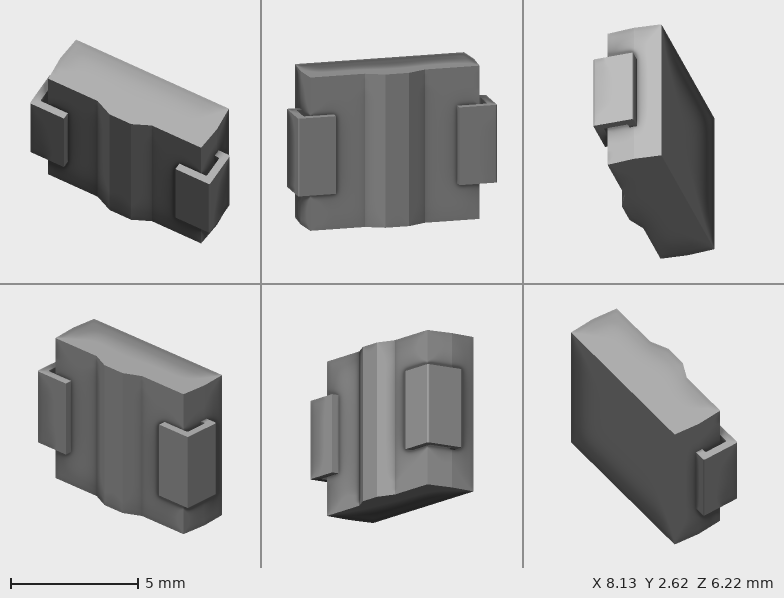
import cadquery as cq

overall_length = 8.13
overall_depth = 2.62
body_height = 6.22

body_end_width = 6.91
body_ridge_width = 7.09
body_front_gap = 0.4
pad_front_gap = 0.06
pad_base_width = 2.455
pad_face_width = 0.975

terminal_height = 3.155
terminal_depth = 1.64
terminal_thickness = 0.31
foot_length = 1.545
outer_bend_radius = 0.065
inner_bend_radius = 0.065
arm_embed = 0.16

front_y = -overall_depth / 2
back_y = overall_depth / 2
body_front_y = front_y + body_front_gap
pad_front_y = front_y + pad_front_gap
ridge_y = (body_front_y + back_y) / 2


def make_body():
    """Extrude the symmetric body section along Z."""
    right_half = [
        (pad_face_width / 2, pad_front_y),
        (pad_base_width / 2, body_front_y),
        (body_end_width / 2, body_front_y),
        (body_ridge_width / 2, ridge_y),
        (body_end_width / 2, back_y),
    ]
    left_half = [(-x, y) for x, y in reversed(right_half)]
    section = cq.Workplane("XY").polyline(right_half + left_half).close()
    return section.extrude(body_height / 2, both=True)


def make_left_terminal():
    """Bend a strip from the body flank, down the side and under the front."""
    outer_x = -overall_length / 2
    inner_x = outer_x + terminal_thickness
    arm_end_x = -body_ridge_width / 2 + arm_embed
    foot_end_x = outer_x + foot_length
    arm_back_y = front_y + terminal_depth
    arm_front_y = arm_back_y - terminal_thickness
    foot_back_y = front_y + terminal_thickness

    outline = [
        (arm_end_x, arm_back_y),
        (outer_x, arm_back_y),
        (outer_x, front_y),
        (foot_end_x, front_y),
        (foot_end_x, foot_back_y),
        (inner_x, foot_back_y),
        (inner_x, arm_front_y),
        (arm_end_x, arm_front_y),
    ]
    strip = cq.Workplane("XY").polyline(outline).close().extrude(terminal_height / 2, both=True)
    strip = strip.edges("|Z and <X").fillet(outer_bend_radius)
    inner_bends = cq.selectors.BoxSelector(
        (inner_x - inner_bend_radius, front_y, -terminal_height),
        (inner_x + inner_bend_radius, arm_back_y, terminal_height),
    )
    return strip.edges("|Z").edges(inner_bends).fillet(inner_bend_radius)


left_terminal = make_left_terminal()
right_terminal = left_terminal.mirror("YZ")
result = make_body().union(left_terminal).union(right_terminal)